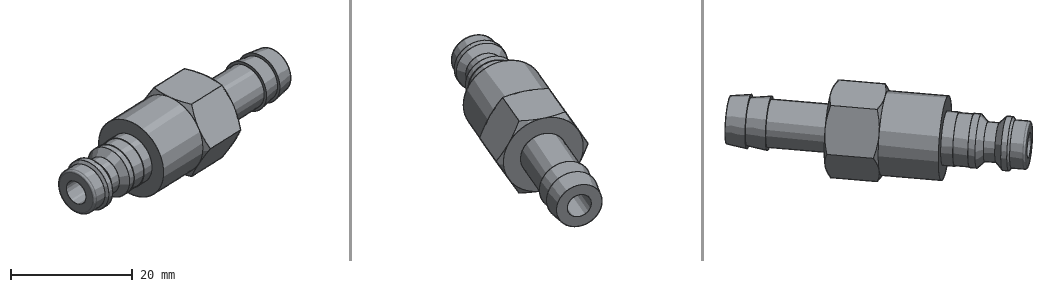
import cadquery as cq
import math

length = 50.0
tip_y = -length / 2
hose_end_y = length / 2

collar_radius = 4.5
tip_radius = 4.0
neck_radius = 3.3
relief_radius = 4.4
tip_fillet = 0.4
collar_start = 2.6
collar_edge = 3.0
collar_end = 4.0
neck_end = 7.1
relief_start = 9.5
relief_end = 12.0
plug_length = 14.0
neck_flank = collar_radius - neck_radius

across_flats = 14.0
body_radius = across_flats / 2
body_length = 10.0
hex_length = 9.0
hex_chamfer_angle = 30.0

tail_radius = 4.0
barb_radius = 4.5
barb_length = 3.4
barb_count = 2

bore_diameter = 4.2

body_start_y = tip_y + plug_length
hex_start_y = body_start_y + body_length
hex_end_y = hex_start_y + hex_length


def revolve_profile(points):
    """Turn (radius, y) points about the Y axis."""
    return cq.Workplane("XY").polyline(points).close().revolve(360, (0, 0), (0, 1))


def make_plug():
    outline = [
        (tip_radius, collar_start),
        (collar_radius, collar_edge),
        (collar_radius, collar_end),
        (neck_radius, collar_end + neck_flank),
        (neck_radius, neck_end),
        (collar_radius, neck_end + neck_flank),
        (collar_radius, relief_start),
        (relief_radius, relief_start),
        (relief_radius, relief_end),
        (collar_radius, relief_end),
        (collar_radius, plug_length),
    ]
    points = [(0, 0), (tip_radius, 0)] + outline + [(0, plug_length)]
    plug = revolve_profile([(radius, tip_y + y) for radius, y in points])
    return plug.faces("<Y").edges().fillet(tip_fillet)


def make_body():
    return revolve_profile([
        (0, body_start_y),
        (body_radius, body_start_y),
        (body_radius, hex_start_y),
        (0, hex_start_y),
    ])


def make_hexagon():
    corner_radius = body_radius / math.cos(math.radians(30))
    prism = (
        cq.Workplane("XZ", origin=(0, hex_end_y, 0))
        .polygon(6, 2 * corner_radius)
        .extrude(hex_length)
    )
    outer_radius = corner_radius + 0.5
    cone_height = (outer_radius - body_radius) * math.tan(math.radians(hex_chamfer_angle))
    envelope = revolve_profile([
        (0, hex_start_y),
        (body_radius, hex_start_y),
        (outer_radius, hex_start_y + cone_height),
        (outer_radius, hex_end_y - cone_height),
        (body_radius, hex_end_y),
        (0, hex_end_y),
    ])
    return prism.intersect(envelope)


def make_hose_tail():
    points = [(0, hex_end_y), (tail_radius, hex_end_y)]
    for index in range(barb_count, 0, -1):
        barb_y = hose_end_y - index * barb_length
        points.append((tail_radius, barb_y))
        points.append((barb_radius, barb_y))
    points += [(tail_radius, hose_end_y), (0, hose_end_y)]
    return revolve_profile(points)


bore = cq.Workplane("XZ", origin=(0, hose_end_y, 0)).circle(bore_diameter / 2).extrude(length)

result = make_plug().union(make_body()).union(make_hexagon()).union(make_hose_tail()).cut(bore)